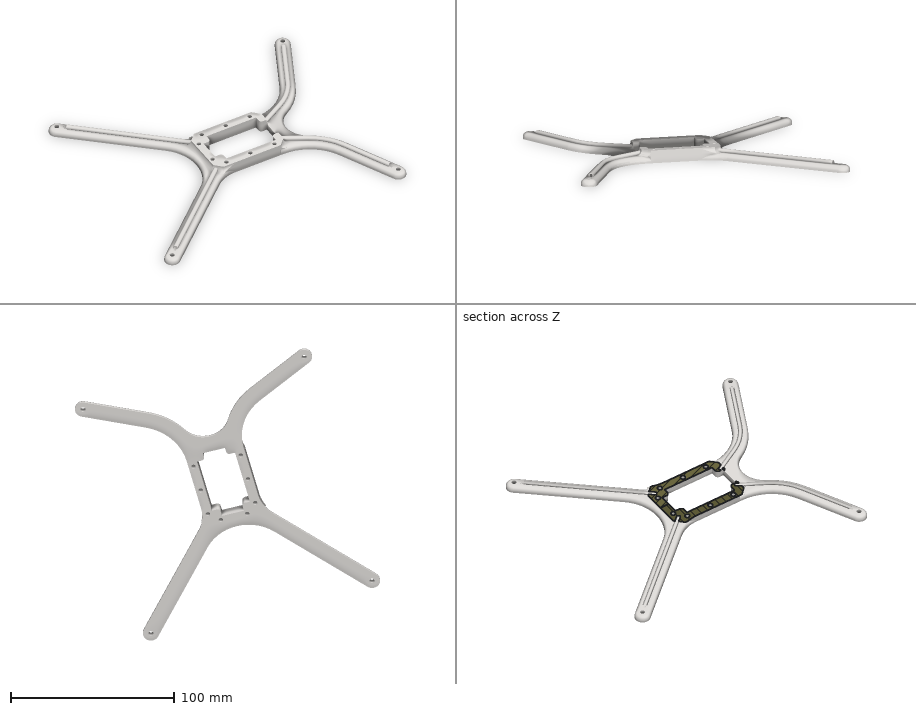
import cadquery as cq
import math


length = 170.0
width = 150.0
frame_height = 8.0

arm_height = 4.2
arm_radius = 5.0
arm_fillet = 3.0
tip_x = -width / 2 + arm_radius
tip_y = length / 2 - arm_radius
tip_hole_diameter = 3.0
rear_arm_slope = 26.0
front_arm_slope = 48.8
rear_bend_radius = 37.0
front_flare_radius = 22.1
rear_bridge_y = 42.0
front_bridge_y = -22.1

tube_diameter = 3.0
tube_bore = 2.0
tube_axis_z = 5.0
tube_start = 6.1
bore_start = 4.2
rear_tube_end_slope = 60.6
tube_embed = 1.7

frame_half_width = 18.0
frame_rear_y = 32.0
frame_front_y = -18.0
frame_chamfer = 4.8
frame_fillet = 3.0
lug_edge_radius = 0.5
window_half_width = 12.0
window_rear_y = 27.2
window_front_y = -7.8
slot_half_width = 7.0
slot_front_y = -13.0
lug_corner_radius = 2.0
screw_diameter = 2.7
side_screw_x = -15.0
side_screw_middle_y = 7.5
side_screw_pitch = 17.0
front_screw = (-8.3, -15.5)


def polar(centre, radius, degrees):
    """Point at a distance and an angle from a centre."""
    angle = math.radians(degrees)
    return (centre[0] + radius * math.cos(angle), centre[1] + radius * math.sin(angle))


def mean(first, second):
    return (first + second) / 2


rear_tip = (tip_x, tip_y)
front_tip = (tip_x, -tip_y)
rear_normal = 90 - rear_arm_slope
front_normal = front_arm_slope - 90

bend_inner_radius = rear_bend_radius - arm_radius
bend_outer_radius = rear_bend_radius + arm_radius
bend_x = -frame_half_width - bend_inner_radius
axis_drop = (bend_x - tip_x) * math.tan(math.radians(rear_arm_slope))
bend_y = tip_y - axis_drop - rear_bend_radius / math.cos(math.radians(rear_arm_slope))
bend_centre = (bend_x, bend_y)

bridge_rise = rear_bridge_y - bend_y
rear_bridge_radius = (bend_x**2 + bridge_rise**2 - bend_outer_radius**2) / (
    2 * (bend_outer_radius - bridge_rise)
)
rear_bridge_centre = (0, rear_bridge_y + rear_bridge_radius)
rear_bridge_angle = math.degrees(math.atan2(rear_bridge_centre[1] - bend_y, -bend_x))

normal_x, normal_y = polar((0, 0), 1, front_normal)
inner_edge_distance = normal_x * tip_x - normal_y * tip_y + arm_radius
front_bridge_radius = (normal_y * front_bridge_y - inner_edge_distance) / (1 + normal_y)
front_bridge_centre = (0, front_bridge_y - front_bridge_radius)

flare_x = -frame_half_width - front_flare_radius
flare_distance = inner_edge_distance - 2 * arm_radius - front_flare_radius
flare_y = (flare_distance - normal_x * flare_x) / normal_y
flare_centre = (flare_x, flare_y)


def arc_to(sketch, centre, radius, start_angle, end_angle):
    """Continue an outline along an arc."""
    middle = polar(centre, radius, mean(start_angle, end_angle))
    return sketch.threePointArc(middle, polar(centre, radius, end_angle))


def footprint(height):
    """Left half in plan: two arms, half of each bridge and the side of the frame."""
    outline = cq.Workplane("XY").moveTo(0, rear_bridge_y)
    outline = arc_to(outline, rear_bridge_centre, rear_bridge_radius, 270, rear_bridge_angle + 180)
    outline = arc_to(outline, bend_centre, bend_outer_radius, rear_bridge_angle, rear_normal)
    outline = outline.lineTo(*polar(rear_tip, arm_radius, rear_normal))
    outline = arc_to(outline, rear_tip, arm_radius, rear_normal, rear_normal + 180)
    outline = outline.lineTo(*polar(bend_centre, bend_inner_radius, rear_normal))
    outline = arc_to(outline, bend_centre, bend_inner_radius, rear_normal, 0)
    outline = outline.lineTo(*polar(flare_centre, front_flare_radius, 0))
    outline = arc_to(outline, flare_centre, front_flare_radius, 0, front_normal)
    outline = outline.lineTo(*polar(front_tip, arm_radius, front_normal + 180))
    outline = arc_to(outline, front_tip, arm_radius, front_normal - 180, front_normal)
    outline = outline.lineTo(*polar(front_bridge_centre, front_bridge_radius, front_normal + 180))
    outline = arc_to(outline, front_bridge_centre, front_bridge_radius, front_normal + 180, 90)
    return outline.close().extrude(height)


def arms():
    """Arms and bridges, with every upper edge rounded except the one on X = 0."""
    return footprint(arm_height).faces(">Z").edges("not(>X)").fillet(arm_fillet)


def half_box(half_width, front_y, rear_y, height=frame_height):
    """Box from X = -half_width to X = 0, standing on Z = 0."""
    middle = (-half_width / 2, mean(front_y, rear_y))
    return cq.Workplane("XY").center(*middle).rect(half_width, rear_y - front_y).extrude(height)


def frame():
    """Raised frame with chamfered corners, and the fillet from its walls to the arms."""
    block = half_box(frame_half_width, frame_front_y, frame_rear_y)
    block = block.edges("|Z and <X").chamfer(frame_chamfer)
    slot = half_box(slot_half_width, slot_front_y, frame_rear_y)
    block = block.cut(slot)
    lug_edge = cq.selectors.NearestToPointSelector((-slot_half_width, frame_rear_y, frame_height / 2))
    block = block.edges(lug_edge).fillet(lug_edge_radius)

    slab = half_box(width / 2, -length / 2, length / 2, arm_height)
    foot_edges = cq.selectors.BoxSelector(
        (-frame_half_width - 1.7, frame_front_y - 1.7, arm_height - 0.2),
        (-0.2, frame_rear_y + 1.7, arm_height + 0.2),
    )
    skirt = slab.union(block).edges(foot_edges).fillet(frame_fillet).cut(slab)
    return block.union(skirt.intersect(footprint(frame_height)))


def window():
    """Half of the opening: a wide part, and a narrower slot running out at the rear."""
    wide = half_box(window_half_width, window_front_y, window_rear_y)
    slot = half_box(slot_half_width, slot_front_y, frame_rear_y)
    opening = wide.union(slot)
    for lug_y in (window_front_y, window_rear_y):
        corner = cq.selectors.NearestToPointSelector((-slot_half_width, lug_y, frame_height / 2))
        opening = opening.edges(corner).fillet(lug_corner_radius)
    return opening


def rod(start, slope, path, diameter):
    """Round bar swept along a path that leaves its start at a given slope."""
    direction_x, direction_y = polar((0, 0), 1, slope)
    section = cq.Plane(
        origin=(*start, tube_axis_z),
        xDir=(-direction_y, direction_x, 0),
        normal=(direction_x, direction_y, 0),
    )
    return cq.Workplane(section).circle(diameter / 2).sweep(path)


def rear_rod(start_distance, diameter):
    """Bar that follows the bend of the rear arm, then runs straight into the frame."""
    start = polar(rear_tip, start_distance, -rear_arm_slope)
    leave_angle = 90 - rear_tube_end_slope
    leave_point = polar(bend_centre, rear_bend_radius, leave_angle)
    end_y = frame_rear_y - tube_embed
    run = (leave_point[1] - end_y) / math.sin(math.radians(rear_tube_end_slope))
    path = cq.Workplane("XY", origin=(0, 0, tube_axis_z)).moveTo(*start)
    path = path.lineTo(*polar(bend_centre, rear_bend_radius, rear_normal))
    path = arc_to(path, bend_centre, rear_bend_radius, rear_normal, leave_angle)
    path = path.lineTo(*polar(leave_point, run, -rear_tube_end_slope))
    return rod(start, -rear_arm_slope, path, diameter)


def front_rod(start_distance, diameter):
    """Straight bar along the front arm, into the chamfered corner of the frame."""
    start = polar(front_tip, start_distance, front_arm_slope)
    end_y = frame_front_y + frame_chamfer / 2 + tube_embed
    run = (end_y + tip_y) / math.sin(math.radians(front_arm_slope))
    path = cq.Workplane("XY", origin=(0, 0, tube_axis_z)).moveTo(*start)
    path = path.lineTo(*polar(front_tip, run, front_arm_slope))
    return rod(start, front_arm_slope, path, diameter)


def holes():
    """Mounting holes at the arm tips, and screw holes around the frame."""
    tips = cq.Workplane("XY").pushPoints([rear_tip, front_tip])
    tips = tips.circle(tip_hole_diameter / 2).extrude(frame_height)
    screws = [(side_screw_x, side_screw_middle_y + step * side_screw_pitch) for step in (-1, 0, 1)]
    screws.append(front_screw)
    screw_holes = cq.Workplane("XY").pushPoints(screws).circle(screw_diameter / 2).extrude(frame_height)
    return tips.union(screw_holes)


def frame_half():
    """Left half of the part as one solid."""
    body = arms().union(frame())
    for arm_rod in (rear_rod, front_rod):
        body = body.union(arm_rod(tube_start, tube_diameter))
        body = body.cut(arm_rod(bore_start, tube_bore))
    return body.cut(window()).cut(holes())


left_half = frame_half()
right_half = left_half.mirror("YZ")

result = cq.Compound.makeCompound([left_half.solids().val(), right_half.solids().val()])